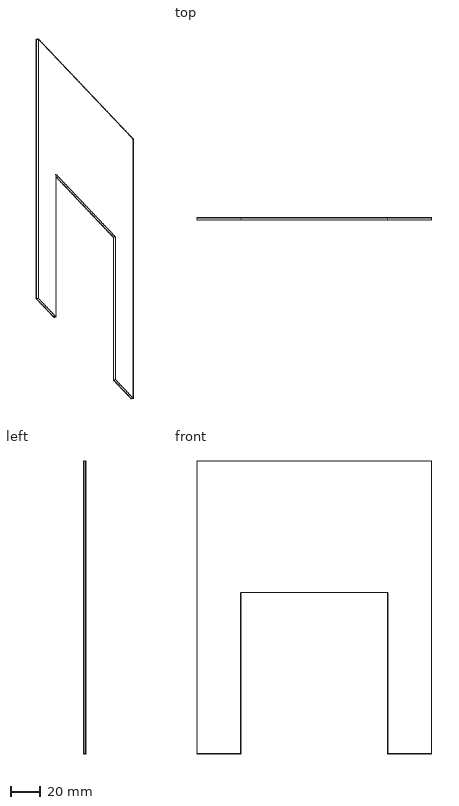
import cadquery as cq

width = 160.0
thickness = 1.6
height = 200.0

leg_width = 30.0
leg_height = 110.0
opening_width = width - 2 * leg_width


def make_plate():
    """Upright plate, centred on X and Y, standing on Z = 0."""
    return cq.Workplane("XY").box(width, thickness, height, centered=(True, True, False))


def make_opening():
    """Block that removes the material between the legs through the full thickness."""
    return cq.Workplane("XY").box(opening_width, thickness, leg_height, centered=(True, True, False))


result = make_plate().cut(make_opening())